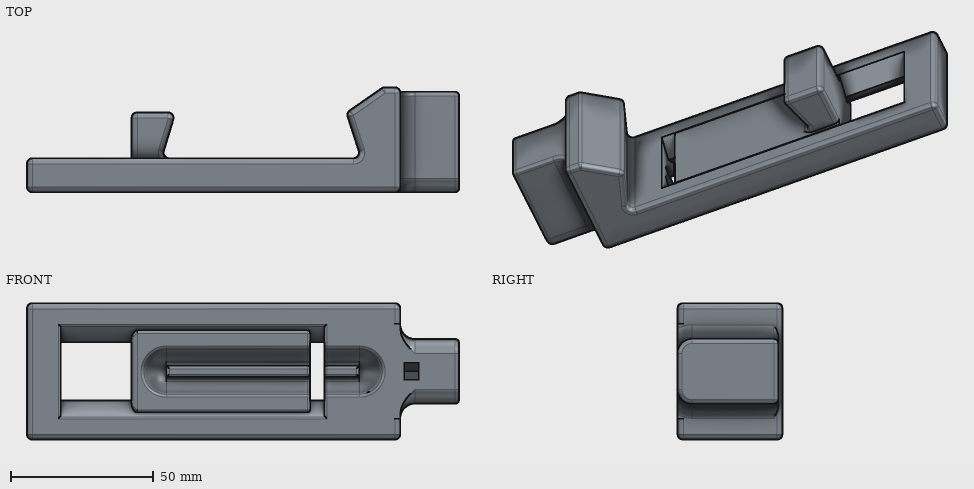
import cadquery as cq
import math

TOLERANCE = 0.02

LENGTH = 131.3
HEIGHT = 48.0
PLATE = 12.0
DEPTH = 37.0
EDGE_R = 2.0
FINE_R = 1.0
GAP_R = 0.9

JAW_FOOT_X = 117.5
JAW_TIP_X = 112.3
JAW_TIP_Y = 28.0
JAW_TOP_X = 125.2

TOTAL_LENGTH = 152.0
NECK_HEIGHT = 22.8
NECK_DEPTH = 35.4
NECK_FRONT_R = 5.0
NECK_EDGE_R = 1.5
COVE_R = 5.0
ROOT_X = 126.2
ROOT_HALF = 16.7

NUT_FLATS = 6.1
NUT_THICKNESS = 5.2
NUT_X = 132.7

WINDOW_START = 12.0
WINDOW_END = 104.5
WAIST_HALF = 10.2

SLIDER_START = 36.8
SLIDER_END = 99.5
CLEARANCE = 0.3
HOOK_HEIGHT = 28.7
HOOK_DEPTH = 28.1
HOOK_FOOT_X = 47.5
HOOK_TIP_X = 52.3

GROOVE_R = 8.0
GROOVE_START = 49.1
GROOVE_END = 116.9
RIB_WIDTH = 4.0
RIB_RECESS = 0.5


def block(x0, x1, y0, y1, half_height):
    size = (x1 - x0, y1 - y0, 2 * half_height)
    return cq.Workplane("XY").box(*size, centered=(False, False, True)).translate((x0, y0, 0))


def plate_prism(points, height):
    return cq.Workplane("XY").polyline(points).close().extrude(height / 2, both=True)


def v_prism(x0, x1, waist):
    """Hourglass prism along X with 45-degree sides."""
    mid = PLATE / 2
    wide = waist + mid
    outline = [(0, -wide), (mid, -waist), (PLATE, -wide), (PLATE, wide), (mid, waist), (0, wide)]
    return cq.Workplane("YZ").polyline(outline).close().extrude(x1 - x0).translate((x0, 0, 0))


def inside(x_range, y_range, half_height):
    """Selector for what is centred inside a box that is symmetric about Z = 0."""
    low, high = zip(x_range, y_range, (-half_height, half_height))
    return cq.selectors.BoxSelector(low, high)


def make_grip_void():
    """Finger groove less its rib, to be cut from both bodies."""
    blank = block(0, LENGTH, 0, 2 * GROOVE_R, 2 * GROOVE_R)
    length = GROOVE_END - GROOVE_START
    panel = blank.cut(cq.Workplane("YZ").circle(GROOVE_R).extrude(length).translate((GROOVE_START, 0, 0)))
    for x in (GROOVE_START, GROOVE_END):
        panel = panel.cut(cq.Workplane("XY").sphere(GROOVE_R).translate((x, 0, 0)))
    rim = inside((TOLERANCE, LENGTH - TOLERANCE), (-TOLERANCE, TOLERANCE), GROOVE_R + TOLERANCE)
    panel = panel.edges(rim).fillet(FINE_R)

    rib = block(GROOVE_START, GROOVE_END, RIB_RECESS, GROOVE_R + FINE_R, RIB_WIDTH / 2)
    rib = rib.faces("<Y").edges().fillet(FINE_R)
    panel = panel.union(rib)
    rib_root = inside((0, LENGTH), (GROOVE_R / 2, GROOVE_R), RIB_WIDTH)
    panel = panel.edges("|X").edges(rib_root).fillet(FINE_R)
    return blank.cut(panel)


def gap_edges(gap_x, half_height):
    """Selector for the front edges of an end face at the gap, with the outline of the grip."""
    x_range = (gap_x - TOLERANCE, gap_x + TOLERANCE)
    return inside(x_range, (-TOLERANCE, GROOVE_R + TOLERANCE), half_height)


def make_neck():
    neck = block(ROOT_X, TOTAL_LENGTH, 0, NECK_DEPTH, NECK_HEIGHT / 2)
    neck = neck.edges("|X and <Y").fillet(NECK_FRONT_R)

    root = block(ROOT_X, LENGTH, -2 * COVE_R, NECK_DEPTH, ROOT_HALF)
    neck = neck.union(root)
    corner_x = (LENGTH - TOLERANCE, LENGTH + TOLERANCE)
    corner = inside(corner_x, (-TOLERANCE, NECK_DEPTH - TOLERANCE), NECK_HEIGHT / 2 + TOLERANCE)
    neck = neck.edges(corner).fillet(COVE_R)
    neck = neck.intersect(block(ROOT_X, TOTAL_LENGTH, 0, NECK_DEPTH, HEIGHT))

    back_y = (NECK_DEPTH - TOLERANCE, NECK_DEPTH + TOLERANCE)
    neck = neck.edges(inside((LENGTH + TOLERANCE, TOTAL_LENGTH), back_y, HEIGHT)).fillet(NECK_EDGE_R)
    return neck.faces(">X").edges().fillet(NECK_EDGE_R)


def make_nut_pocket():
    centre_y = NECK_DEPTH / 2
    nut = cq.Workplane("YZ").polygon(6, NUT_FLATS / math.cos(math.pi / 6)).extrude(NUT_THICKNESS)
    nut = nut.translate((NUT_X, centre_y, 0))
    return nut.union(block(NUT_X, NUT_X + NUT_THICKNESS, 0, centre_y, NUT_FLATS / 2))


def make_frame():
    outline = [(0, 0), (LENGTH, 0), (LENGTH, DEPTH), (JAW_TOP_X, DEPTH), (JAW_TIP_X, JAW_TIP_Y),
               (JAW_FOOT_X, PLATE), (0, PLATE)]
    frame = plate_prism(outline, HEIGHT).edges().fillet(EDGE_R)
    frame = frame.union(make_neck())
    frame = frame.cut(make_nut_pocket())
    frame = frame.cut(v_prism(WINDOW_START, WINDOW_END, WAIST_HALF))
    frame = frame.cut(make_grip_void())

    mouth_half = WAIST_HALF + PLATE / 2
    gap_half = (mouth_half + GROOVE_R + FINE_R) / 2 + GAP_R / 3
    frame = frame.edges(gap_edges(WINDOW_END, gap_half)).fillet(GAP_R)
    mouth_x = (WINDOW_START - TOLERANCE, (WINDOW_START + WINDOW_END) / 2 + 1.5)
    mouth = inside(mouth_x, (-TOLERANCE, TOLERANCE), mouth_half + TOLERANCE)
    return frame.edges(mouth).edges("|X or |Z").fillet(FINE_R)


def make_hook():
    outline = [(SLIDER_START, 0), (SLIDER_START, HOOK_DEPTH), (HOOK_TIP_X, HOOK_DEPTH),
               (HOOK_FOOT_X, PLATE), (SLIDER_END, PLATE), (SLIDER_END, 0)]
    hook = plate_prism(outline, HOOK_HEIGHT).edges().fillet(EDGE_R)
    return hook.intersect(block(SLIDER_START, GROOVE_END, PLATE, DEPTH, HEIGHT))


def make_slider():
    slider = v_prism(SLIDER_START, SLIDER_END, WAIST_HALF - CLEARANCE)
    slider = slider.faces("<Y").edges("|X").fillet(FINE_R)
    slider = slider.faces("<Y").edges("<X").fillet(EDGE_R)
    slider = slider.cut(make_grip_void())
    slider = slider.edges(gap_edges(SLIDER_END, HEIGHT)).fillet(GAP_R)
    return slider.union(make_hook())


frame = make_frame()
slider = make_slider()
result = cq.Compound.makeCompound([frame.val(), slider.val()])